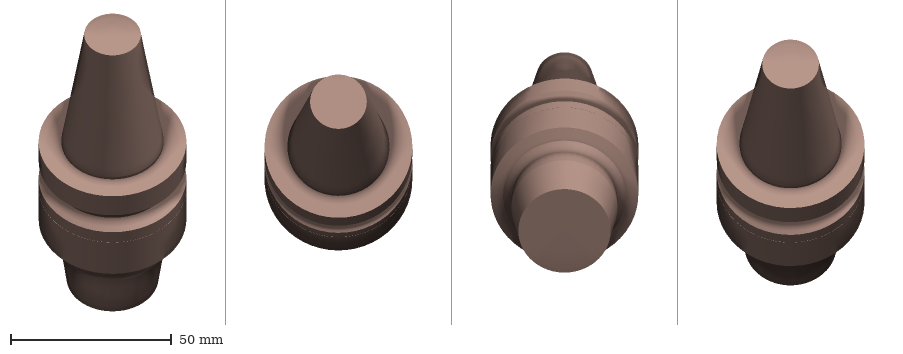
import cadquery as cq
import math


gauge_diameter = 31.75
shank_taper = 7 / 24
shank_length = 48.4
collar_height = 1.0

flange_diameter = 46.0
groove_diameter = 38.0
groove_flank_angle = 30.0
flange_rim_height = 8.75
groove_floor_height = 3.2
lower_rim_height = 4.45

parting_diameter = 45.9
parting_height = 0.3
body_height = 14.45

nose_diameter = 33.0
shoulder_diameter = 38.2
shoulder_slope_height = 1.35
shoulder_chamfer_angle = 45.0

total_length = 111.9
nose_tip_diameter = 28.7
nose_cone_height = 16.5

shank_end_diameter = gauge_diameter - shank_taper * shank_length
groove_depth = (flange_diameter - groove_diameter) / 2
groove_flank_height = groove_depth * math.tan(math.radians(groove_flank_angle))
shoulder_chamfer_width = (shoulder_diameter - nose_diameter) / 2
shoulder_chamfer_height = shoulder_chamfer_width * math.tan(math.radians(shoulder_chamfer_angle))

flange_top = -collar_height
groove_top = flange_top - flange_rim_height
groove_floor_top = groove_top - groove_flank_height
groove_floor_bottom = groove_floor_top - groove_floor_height
groove_bottom = groove_floor_bottom - groove_flank_height
parting_top = groove_bottom - lower_rim_height
parting_bottom = parting_top - parting_height
body_bottom = parting_bottom - body_height
shoulder_bottom = body_bottom - shoulder_slope_height
nose_top = shoulder_bottom - shoulder_chamfer_height
tip_bottom = shank_length - total_length
nose_cone_top = tip_bottom + nose_cone_height

edges = [
    (shank_end_diameter, shank_length),
    (gauge_diameter, 0),
    (gauge_diameter, flange_top),
    (flange_diameter, flange_top),
    (flange_diameter, groove_top),
    (groove_diameter, groove_floor_top),
    (groove_diameter, groove_floor_bottom),
    (flange_diameter, groove_bottom),
    (flange_diameter, parting_top),
    (parting_diameter, parting_top),
    (parting_diameter, parting_bottom),
    (flange_diameter, parting_bottom),
    (flange_diameter, body_bottom),
    (shoulder_diameter, shoulder_bottom),
    (nose_diameter, nose_top),
    (nose_diameter, nose_cone_top),
    (nose_tip_diameter, tip_bottom),
]


def turned_solid(edges):
    """Revolve the outer edges about Z into a solid body."""
    axis_points = [(0, edges[-1][1]), (0, edges[0][1])]
    outline = axis_points + [(diameter / 2, height) for diameter, height in edges]
    return cq.Workplane("XZ").polyline(outline).close().revolve(360, (0, 0), (0, 1))


result = turned_solid(edges)